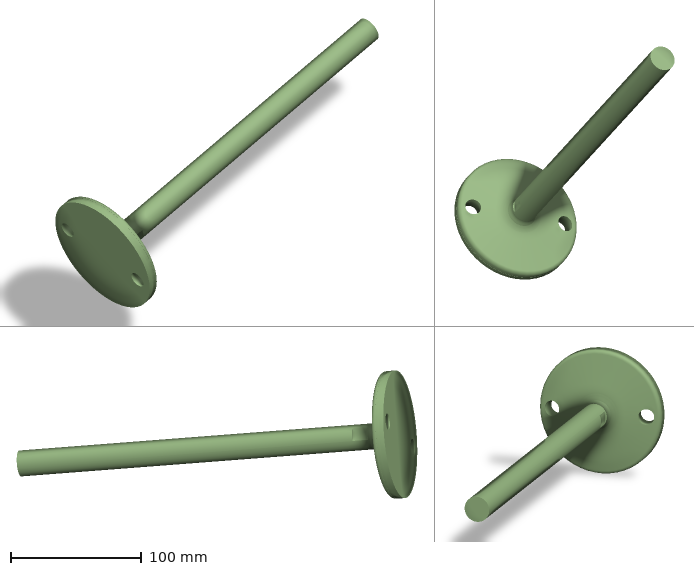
import cadquery as cq
import math

TOTAL_LENGTH = 302.0

FOOT_RADIUS = 98.0 / 2
GROOVE_RADIUS = 97.8 / 2
GROOVE_START = 3.5
GROOVE_END = 6.3
SHOULDER_HEIGHT = 9.5
SHOULDER_ROUND = 3.0
CONE_ANGLE = 9.5
FLARE_OUTER_RADIUS = 16.3
FLARE_INNER_RADIUS = 11.5
FLARE_INNER_HEIGHT = 16.5
NECK_RADIUS = 8.2
NECK_HEIGHT = 20.0

HOLE_DIAMETER = 12.5
HOLE_OFFSET = 36.2
HOLE_CUT_LENGTH = 60.5

STEM_RADIUS = 20.0 / 2
STEM_CHAMFER = STEM_RADIUS - NECK_RADIUS
ACROSS_FLATS = 17.2
FLAT_START = 23.3
FLAT_LENGTH = 12.5


def cone_height(radius):
    """Height of the conical back at a given distance from the axis."""
    return SHOULDER_HEIGHT + (FOOT_RADIUS - radius) * math.tan(math.radians(CONE_ANGLE))


def revolve_about_y(profile):
    return profile.close().revolve(360, (0, 0, 0), (0, 1, 0))


def make_screw_hole(side):
    """Cylinder leaning outward as it rises; side is -1 or +1."""
    lean = math.radians(CONE_ANGLE)
    axis = cq.Vector(side * math.sin(lean), math.cos(lean), 0)
    mouth = cq.Vector(side * HOLE_OFFSET, 0, 0)
    start = mouth - axis * (HOLE_CUT_LENGTH / 2)
    return cq.Solid.makeCylinder(HOLE_DIAMETER / 2, HOLE_CUT_LENGTH, start, axis)


def make_foot():
    cone_slope = math.radians(CONE_ANGLE)
    tangent_length = SHOULDER_ROUND * math.tan((math.pi / 2 - cone_slope) / 2)
    round_start = (FOOT_RADIUS, SHOULDER_HEIGHT - tangent_length)
    round_end_radius = FOOT_RADIUS - tangent_length * math.cos(cone_slope)
    round_end = (round_end_radius, cone_height(round_end_radius))

    profile = (
        cq.Workplane("XY")
        .lineTo(FOOT_RADIUS, 0)
        .lineTo(FOOT_RADIUS, GROOVE_START)
        .lineTo(GROOVE_RADIUS, GROOVE_START)
        .lineTo(GROOVE_RADIUS, GROOVE_END)
        .lineTo(FOOT_RADIUS, GROOVE_END)
        .lineTo(*round_start)
        .tangentArcPoint(round_end, relative=False)
        .lineTo(FLARE_OUTER_RADIUS, cone_height(FLARE_OUTER_RADIUS))
        .tangentArcPoint((FLARE_INNER_RADIUS, FLARE_INNER_HEIGHT), relative=False)
        .lineTo(NECK_RADIUS, NECK_HEIGHT)
        .lineTo(0, NECK_HEIGHT)
    )
    foot = revolve_about_y(profile)
    for side in (-1, 1):
        foot = foot.cut(cq.Workplane(make_screw_hole(side)))
    return foot


def make_flat_cutter(side):
    """Block that removes the stem beyond one wrench flat; side is -1 or +1."""
    return cq.Workplane("XY").box(STEM_RADIUS, FLAT_LENGTH, 2 * STEM_RADIUS).translate(
        (side * (ACROSS_FLATS + STEM_RADIUS) / 2, FLAT_START + FLAT_LENGTH / 2, 0)
    )


def make_stem():
    profile = (
        cq.Workplane("XY")
        .moveTo(0, NECK_HEIGHT)
        .lineTo(NECK_RADIUS, NECK_HEIGHT)
        .lineTo(STEM_RADIUS, NECK_HEIGHT + STEM_CHAMFER)
        .lineTo(STEM_RADIUS, TOTAL_LENGTH)
        .lineTo(0, TOTAL_LENGTH)
    )
    stem = revolve_about_y(profile)
    for side in (-1, 1):
        stem = stem.cut(make_flat_cutter(side))
    return stem


foot = make_foot()
stem = make_stem()
result = cq.Compound.makeCompound([foot.val(), stem.val()])